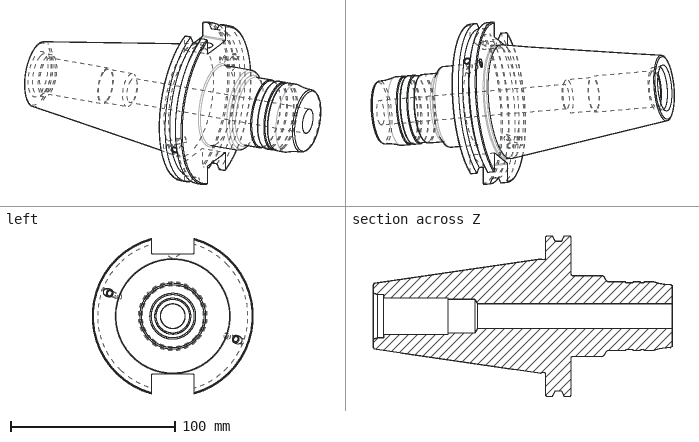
import cadquery as cq
import math


taper_end_x = 101.8
taper_ratio = 7 / 24
shank_r = 69.7 / 2
shank_end_r = shank_r - taper_end_x * taper_ratio / 2
shank_chamfer_x = 0.5
shank_chamfer_r = 1.0

neck_r = 69.2 / 2
neck_start_x = 102.9
neck_fillet = 0.5

flange_start_x = 104.9
flange_end_x = 120.5
flange_r = 98.2 / 2
flange_chamfer_x = 0.5
flange_chamfer_r = 0.7
groove_x = 112.7
groove_floor_r = 45.7
groove_mouth = 7.0
groove_flank_angle = 25

body_r = 49.5 / 2
body_root_fillet = 1.0
body_end_x = 139.1
shoulder_angle = 60
shoulder_fillet = 1.8

nose_r = 42.0 / 2
ring_floor_r = 41.0 / 2
ring_spans = [(153.5, 158.5), (162.5, 165.2)]
nose_taper_x = 170.6
nose_taper_mid = (175.9, 19.7)
nose_taper_end = (181.0, 19.3)
length = 182.1
nose_end_r = 18.5

bore_mouth_r = 28.0 / 2
bore_mouth_depth = 2.5
pilot_r = 26.2 / 2
pilot_depth = 6.4
step_r = 22.0 / 2
step_depth = 45.5
core_r = 20.4 / 2
core_depth = 62
through_r = 15.0 / 2
drill_half_angle = 59

slot_width = 25.7
top_slot_z = 37.9
bottom_slot_z = -35.3
slot_fillet = 0.5

dimple_r = 9.5 / 2

inlet_turn = 20
inlet_pitch_r = 41.9
inlet_tilt = 35
inlet_seat_d = 5.0
inlet_seat_depth = 1.8
channel_d = 3.3
channel_depth = 12.7
plug_seat_d = 4.2
plug_seat_depth = 0.5
plug_floor_r = 36.5


def turned_body():
    """Revolve the outer outline of the whole part."""
    groove_flank = (flange_r - groove_floor_r) * math.tan(math.radians(groove_flank_angle))
    groove_start_x = groove_x - groove_mouth / 2
    groove_end_x = groove_x + groove_mouth / 2

    angle = math.radians(shoulder_angle)
    fillet_x = shoulder_fillet * math.sin(angle)
    fillet_r = shoulder_fillet * (1 - math.cos(angle))
    half_x = shoulder_fillet * math.sin(angle / 2)
    half_r = shoulder_fillet * (1 - math.cos(angle / 2))
    cone_start_x = body_end_x + fillet_x
    cone_end_x = cone_start_x + (body_r - nose_r - 2 * fillet_r) / math.tan(angle)
    nose_start_x = cone_end_x + fillet_x

    quarter_mid = 1 - math.sqrt(0.5)
    neck_mid = neck_fillet * quarter_mid
    root_mid = body_root_fillet * quarter_mid

    outline = (
        cq.Workplane("XY")
        .moveTo(0, 0)
        .lineTo(0, shank_end_r - shank_chamfer_r)
        .lineTo(shank_chamfer_x, shank_end_r + shank_chamfer_x * taper_ratio / 2)
        .lineTo(taper_end_x, shank_r)
        .lineTo(neck_start_x, neck_r)
        .lineTo(flange_start_x - neck_fillet, neck_r)
        .threePointArc(
            (flange_start_x - neck_mid, neck_r + neck_mid),
            (flange_start_x, neck_r + neck_fillet),
        )
        .lineTo(flange_start_x, flange_r - flange_chamfer_r)
        .lineTo(flange_start_x + flange_chamfer_x, flange_r)
        .lineTo(groove_start_x, flange_r)
        .lineTo(groove_start_x + groove_flank, groove_floor_r)
        .lineTo(groove_end_x - groove_flank, groove_floor_r)
        .lineTo(groove_end_x, flange_r)
        .lineTo(flange_end_x - flange_chamfer_x, flange_r)
        .lineTo(flange_end_x, flange_r - flange_chamfer_r)
        .lineTo(flange_end_x, body_r + body_root_fillet)
        .threePointArc(
            (flange_end_x + root_mid, body_r + root_mid),
            (flange_end_x + body_root_fillet, body_r),
        )
        .lineTo(body_end_x, body_r)
        .threePointArc(
            (body_end_x + half_x, body_r - half_r),
            (cone_start_x, body_r - fillet_r),
        )
        .lineTo(cone_end_x, nose_r + fillet_r)
        .threePointArc((nose_start_x - half_x, nose_r + half_r), (nose_start_x, nose_r))
    )
    ring_wall = nose_r - ring_floor_r
    for start_x, end_x in ring_spans:
        outline = (
            outline.lineTo(start_x, nose_r)
            .lineTo(start_x + ring_wall, ring_floor_r)
            .lineTo(end_x - ring_wall, ring_floor_r)
            .lineTo(end_x, nose_r)
        )
    outline = (
        outline.lineTo(nose_taper_x, nose_r)
        .threePointArc(nose_taper_mid, nose_taper_end)
        .lineTo(length, nose_end_r)
        .lineTo(length, 0)
        .close()
    )
    return outline.revolve(360, (0, 0, 0), (1, 0, 0))


def bore():
    """Stepped bore from the small end, narrowing to a plain through hole."""
    drill_tip = (core_r - through_r) / math.tan(math.radians(drill_half_angle))
    return (
        cq.Workplane("XY")
        .moveTo(0, 0)
        .lineTo(0, bore_mouth_r)
        .lineTo(bore_mouth_depth, pilot_r)
        .lineTo(pilot_depth, pilot_r)
        .lineTo(pilot_depth, step_r)
        .lineTo(step_depth, step_r)
        .lineTo(step_depth, core_r)
        .lineTo(core_depth, core_r)
        .lineTo(core_depth + drill_tip, through_r)
        .lineTo(length, through_r)
        .lineTo(length, 0)
        .close()
        .revolve(360, (0, 0, 0), (1, 0, 0))
    )


def slot(floor_z):
    """Straight slot across the flange with rounded floor corners, open outwards from floor_z."""
    outer_z = math.copysign(flange_r, floor_z)
    floor_side = "<Z" if floor_z > 0 else ">Z"
    width_x = flange_end_x - flange_start_x
    return (
        cq.Workplane("XY")
        .box(width_x, slot_width, abs(outer_z - floor_z))
        .faces(floor_side)
        .edges("|X")
        .fillet(slot_fillet)
        .translate(((flange_start_x + flange_end_x) / 2, 0, (floor_z + outer_z) / 2))
    )


def dimple():
    """Cone-shaped dimple left by a drill point."""
    depth = dimple_r / math.tan(math.radians(drill_half_angle))
    return (
        cq.Workplane("XZ")
        .moveTo(0, 0)
        .lineTo(dimple_r, 0)
        .lineTo(0, -depth)
        .close()
        .revolve(360, (0, 0, 0), (0, 1, 0))
        .translate((groove_x, 0, top_slot_z))
    )


def drilled(start, direction, diameter, depth, lead=0):
    """Round cutter from start along direction; lead extends it backwards."""
    axis = cq.Vector(*direction).normalized()
    origin = cq.Vector(*start) - axis * lead
    return cq.Workplane(cq.Solid.makeCylinder(diameter / 2, depth + lead, origin, axis))


def coolant_inlet():
    """Inclined stepped inlet in the flange face and the radial plug hole that meets it."""
    tilt = math.radians(inlet_tilt)
    inward = (math.cos(tilt), -math.sin(tilt), 0)
    mouth = (flange_start_x, inlet_pitch_r, 0)
    inlet_seat = drilled(mouth, inward, inlet_seat_d, inlet_seat_depth, lead=inlet_seat_d)
    channel = drilled(mouth, inward, channel_d, channel_depth)

    radial = (0, -1, 0)
    plug_mouth = (groove_x, groove_floor_r, 0)
    plug_lead = flange_r - groove_floor_r
    plug_seat = drilled(plug_mouth, radial, plug_seat_d, plug_seat_depth, lead=plug_lead)
    plug_hole = drilled(plug_mouth, radial, channel_d, groove_floor_r - plug_floor_r)
    return inlet_seat.union(channel).union(plug_seat).union(plug_hole)


result = turned_body().cut(bore())
for floor_z in (top_slot_z, bottom_slot_z):
    result = result.cut(slot(floor_z))
result = result.cut(dimple())
for turn in (inlet_turn, inlet_turn + 180):
    result = result.cut(coolant_inlet().rotate((0, 0, 0), (1, 0, 0), turn))